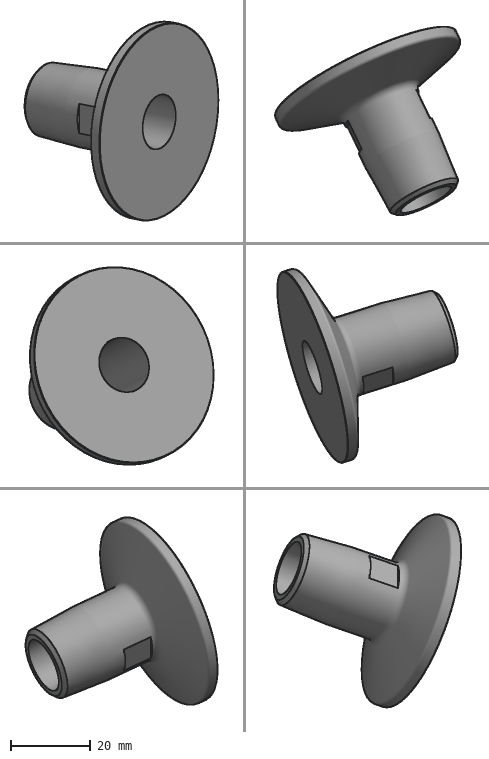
import cadquery as cq
import math

length = 36.0
flange_radius = 25.25
rim_width = 2.3
rim_fillet = 0.8
face_chamfer = 0.15

tube_radius = 10.25
bore_radius = 7.0
tip_radius = 9.5
taper_end = 14.0
end_chamfer = 1.05

cone_angle = math.radians(70)
blend_start = 26.3
blend_radius = 1.95

flat_start = 17.95
flat_end = 26.0
flat_distance = tip_radius


def arc_point(center_x, center_r, radius, angle):
    """Point on an arc, with the angle measured from the outward radial direction."""
    return (center_x + radius * math.sin(angle), center_r + radius * math.cos(angle))


def make_body():
    blend_center = (blend_start, tube_radius + blend_radius)
    blend_mid = arc_point(*blend_center, blend_radius, math.pi - cone_angle / 2)
    blend_end = arc_point(*blend_center, blend_radius, math.pi - cone_angle)

    rim_start = length - rim_width
    rim_center = (rim_start, flange_radius - rim_fillet)
    cone_end = arc_point(*rim_center, rim_fillet, -cone_angle)
    rim_mid = arc_point(*rim_center, rim_fillet, -cone_angle / 2)

    profile = (
        cq.Workplane("XY")
        .moveTo(0, bore_radius)
        .lineTo(0, tip_radius - end_chamfer)
        .lineTo(end_chamfer, tip_radius)
        .lineTo(taper_end, tube_radius)
        .lineTo(blend_start, tube_radius)
        .threePointArc(blend_mid, blend_end)
        .lineTo(*cone_end)
        .threePointArc(rim_mid, (rim_start, flange_radius))
        .lineTo(length - face_chamfer, flange_radius)
        .lineTo(length, flange_radius - face_chamfer)
        .lineTo(length, bore_radius)
        .close()
    )
    return profile.revolve(360, (0, 0, 0), (1, 0, 0))


def make_flat_cutter(side):
    """Block that removes the tube wall beyond the flat on one Y side."""
    depth = tube_radius - flat_distance
    return cq.Workplane("XY").box(
        flat_end - flat_start, 2 * depth, 2 * tube_radius
    ).translate(((flat_start + flat_end) / 2, side * (flat_distance + depth), 0))


result = make_body()
for side in (-1, 1):
    result = result.cut(make_flat_cutter(side))